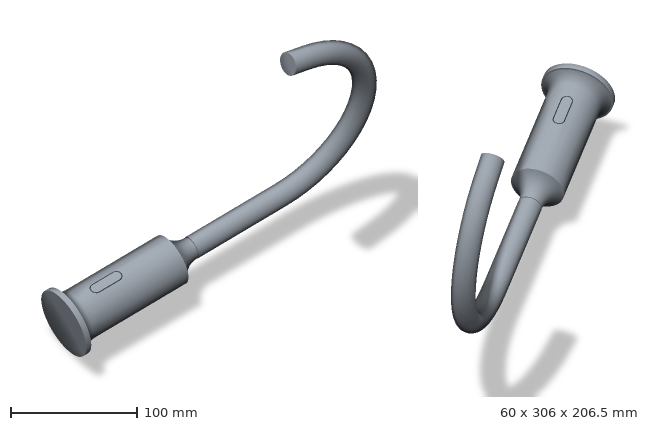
import cadquery as cq
import math


flange_radius = 30.0
flange_thickness = 5.0
barrel_radius = 22.0
barrel_end = 106.5
base_flare_start = 17.5
upper_flare_radius = 27.5
flare_change = 12.0
lower_flare_radius = 9.8
neck_radius = 9.5
neck_end = 125.0

tube_radius = 9.8
spigot_radius = 9.0
joint_gap = 1.0
tube_start = neck_end + joint_gap
bend_start = 213.5
spout_reach = 306.0
bend_radius = spout_reach - tube_radius - bend_start
tip_slope = 17.7
tip_length = 18.7

pocket_length = 30.0
pocket_width = 10.0
pocket_depth = 3.0
window_gap = 1.0
window_center = 41.5


def concave_point(start, radius, start_angle, angle):
    """Point on a concave arc that begins at start = (r, y), widening toward -Y.

    Angles are those between the arc's tangent and the Y axis.
    """
    return (
        start[0] + radius * (math.cos(start_angle) - math.cos(angle)),
        start[1] - radius * (math.sin(angle) - math.sin(start_angle)),
    )


def make_turned_housing():
    flare_top = (barrel_radius, base_flare_start)
    change_angle = math.asin((base_flare_start - flare_change) / upper_flare_radius)
    flare_join = concave_point(flare_top, upper_flare_radius, 0, change_angle)
    upper_mid = concave_point(flare_top, upper_flare_radius, 0, change_angle / 2)
    foot_angle = math.asin(math.sin(change_angle) + (flare_change - flange_thickness) / lower_flare_radius)
    flare_foot = concave_point(flare_join, lower_flare_radius, change_angle, foot_angle)
    lower_mid = concave_point(
        flare_join, lower_flare_radius, change_angle, (change_angle + foot_angle) / 2
    )

    neck_run = barrel_radius - neck_radius
    neck_length = neck_end - barrel_end
    neck_flare_radius = (neck_length**2 + neck_run**2) / (2 * neck_run)
    neck_angle = math.asin(neck_length / neck_flare_radius)
    neck_top = (neck_radius, neck_end)
    neck_mid = concave_point(neck_top, neck_flare_radius, 0, neck_angle / 2)

    profile = (
        cq.Workplane("XY")
        .moveTo(0, 0)
        .lineTo(flange_radius, 0)
        .lineTo(flange_radius, flange_thickness)
        .lineTo(*flare_foot)
        .threePointArc(lower_mid, flare_join)
        .threePointArc(upper_mid, flare_top)
        .lineTo(barrel_radius, barrel_end)
        .threePointArc(neck_mid, neck_top)
        .lineTo(0, neck_end)
        .close()
    )
    return profile.revolve(360, (0, 0, 0), (0, 1, 0))


def make_slot_block(length, width):
    """Rounded upright block that starts at the pocket floor and rises clear of the barrel."""
    return (
        cq.Workplane("XY", origin=(0, window_center, barrel_radius - pocket_depth))
        .slot2D(length, width, 90)
        .extrude(2 * pocket_depth)
    )


def make_housing():
    return make_turned_housing().cut(make_slot_block(pocket_length, pocket_width))


def make_sensor_window():
    block = make_slot_block(pocket_length - 2 * window_gap, pocket_width - 2 * window_gap)
    return block.intersect(make_turned_housing())


def bend_point(angle):
    """(Y, Z) point on the bend's centre line after it has turned by the given angle."""
    return (
        bend_start + bend_radius * math.sin(angle),
        bend_radius * (1 - math.cos(angle)),
    )


def make_spout():
    spigot = cq.Workplane("XZ", origin=(0, neck_end, 0)).circle(spigot_radius).extrude(-joint_gap)

    turn = math.radians(180 - tip_slope)
    bend_end = bend_point(turn)
    tip = (
        bend_end[0] + tip_length * math.cos(turn),
        bend_end[1] + tip_length * math.sin(turn),
    )
    path = (
        cq.Workplane("YZ")
        .moveTo(tube_start, 0)
        .lineTo(bend_start, 0)
        .threePointArc(bend_point(turn / 2), bend_end)
        .lineTo(*tip)
    )
    tube = cq.Workplane("XZ", origin=(0, tube_start, 0)).circle(tube_radius).sweep(path)
    return tube.union(spigot)


housing = make_housing()
sensor_window = make_sensor_window()
spout = make_spout()

result = cq.Compound.makeCompound([housing.val(), sensor_window.val(), spout.val()])